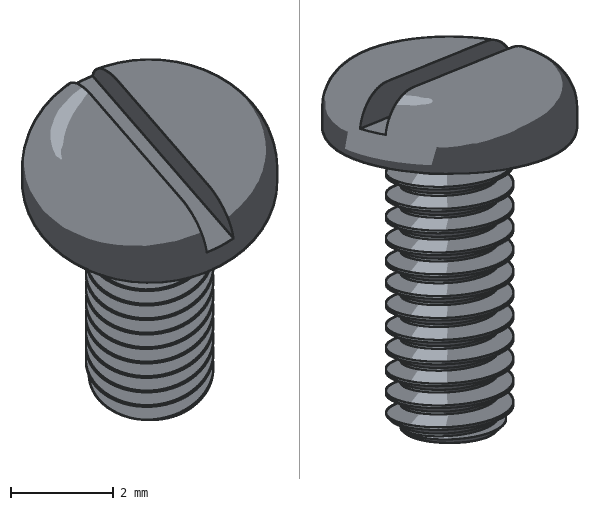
import cadquery as cq
import math


head_diameter = 5.0
head_height = 1.5
dome_radius = 0.9
under_head_radius = 0.225
slot_width = 0.63
slot_depth = 0.75

shank_length = 6.0
thread_diameter = 2.5
pitch = 0.45
flank_angle = 30
tip_diameter = 1.84

head_radius = head_diameter / 2
thread_radius = thread_diameter / 2
tip_radius = tip_diameter / 2

flank_slope = math.tan(math.radians(flank_angle))
flat_width = pitch / 8
thread_depth = (pitch / 2 - flat_width) / flank_slope
core_radius = thread_radius - thread_depth

root_overlap = 0.02
root_radius = core_radius - root_overlap
crest_half_width = flat_width / 2
root_half_width = crest_half_width + (thread_radius - root_radius) * flank_slope

ridge_start_z = -shank_length - pitch / 2 + crest_half_width
ridge_start_angle = -90
ridge_length = shank_length + 2 * pitch


def make_head():
    """Pan head with a domed top, a rounded lower rim and a driver slot along X."""
    head = cq.Workplane("XY").circle(head_radius).extrude(head_height)
    head = head.faces(">Z").edges().fillet(dome_radius)
    head = head.faces("<Z").edges().fillet(under_head_radius)
    slot = (
        cq.Workplane("XY")
        .workplane(offset=head_height - slot_depth)
        .rect(head_diameter, slot_width)
        .extrude(slot_depth)
    )
    return head.cut(slot).solids()


def make_ridge():
    """Right-handed helical thread ridge, longer than the shank at both ends."""
    path = cq.Wire.makeHelix(pitch, ridge_length, root_radius)
    section = (
        cq.Workplane("XZ")
        .moveTo(root_radius, -root_half_width)
        .lineTo(thread_radius, -crest_half_width)
        .lineTo(thread_radius, crest_half_width)
        .lineTo(root_radius, root_half_width)
        .close()
    )
    ridge = section.sweep(cq.Workplane(obj=path), isFrenet=True)
    ridge = ridge.rotate((0, 0, 0), (0, 0, 1), ridge_start_angle)
    return ridge.translate((0, 0, ridge_start_z))


def make_envelope():
    """Outer limits of the shank: a cylinder clear of the crests with a 45 degree conical tip."""
    outer_radius = thread_radius + pitch
    chamfer_height = outer_radius - tip_radius
    return (
        cq.Workplane("XZ")
        .moveTo(0, -shank_length)
        .lineTo(tip_radius, -shank_length)
        .lineTo(outer_radius, -shank_length + chamfer_height)
        .lineTo(outer_radius, 0)
        .lineTo(0, 0)
        .close()
        .revolve(360, (0, 0), (0, 1))
    )


def make_threaded_shank():
    """Core cylinder joined with the thread ridge and trimmed to the bearing face and tip."""
    core = (
        cq.Workplane("XY")
        .workplane(offset=ridge_start_z)
        .circle(core_radius)
        .extrude(ridge_length)
    )
    return core.union(make_ridge()).intersect(make_envelope()).solids()


head = make_head()
threaded_shank = make_threaded_shank()

result = cq.Compound.makeCompound([head.val(), threaded_shank.val()])